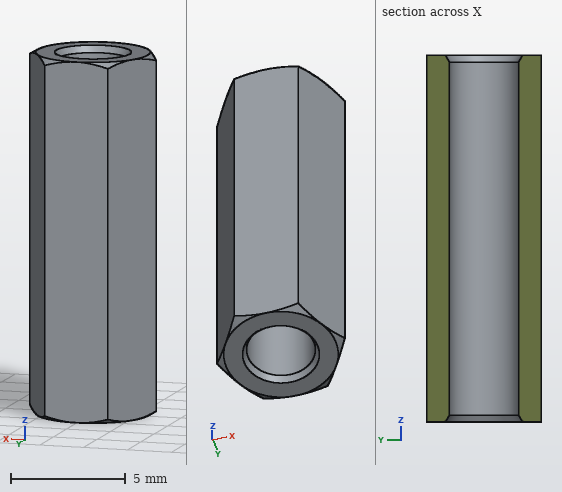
import cadquery as cq
import math

LENGTH = 16.0
SIDES = 6
ACROSS_FLATS = 5.005
BORE_DIAMETER = 3.0
BORE_MOUTH_DIAMETER = 3.35
BORE_CHAMFER_ANGLE = 60.0
END_FACE_DIAMETER = 5.0
END_CHAMFER_ANGLE = 30.0

ACROSS_CORNERS = ACROSS_FLATS / math.cos(math.pi / SIDES)
CORNER_RADIUS = ACROSS_CORNERS / 2
END_FACE_RADIUS = END_FACE_DIAMETER / 2
CORNER_DROP = (CORNER_RADIUS - END_FACE_RADIUS) * math.tan(math.radians(END_CHAMFER_ANGLE))
BORE_RADIUS = BORE_DIAMETER / 2
MOUTH_RADIUS = BORE_MOUTH_DIAMETER / 2
MOUTH_DEPTH = (MOUTH_RADIUS - BORE_RADIUS) * math.tan(math.radians(BORE_CHAMFER_ANGLE))


def revolve_about_z(half_profile):
    """Solid of revolution about Z from a list of (radius, height) points."""
    return cq.Workplane("XZ").polyline(half_profile).close().revolve(360, (0, 0), (0, 1))


def hex_bar():
    """Hexagonal bar with two corners on the X axis."""
    return cq.Workplane("XY").polygon(SIDES, ACROSS_CORNERS).extrude(LENGTH)


def corner_chamfer_envelope():
    """Cylinder coned at both ends; what it shares with the bar has chamfered corners."""
    return revolve_about_z([
        (0, 0),
        (END_FACE_RADIUS, 0),
        (CORNER_RADIUS, CORNER_DROP),
        (CORNER_RADIUS, LENGTH - CORNER_DROP),
        (END_FACE_RADIUS, LENGTH),
        (0, LENGTH),
    ])


def bore():
    """Through bore, countersunk at both mouths."""
    return revolve_about_z([
        (0, 0),
        (MOUTH_RADIUS, 0),
        (BORE_RADIUS, MOUTH_DEPTH),
        (BORE_RADIUS, LENGTH - MOUTH_DEPTH),
        (MOUTH_RADIUS, LENGTH),
        (0, LENGTH),
    ])


result = hex_bar().intersect(corner_chamfer_envelope()).cut(bore())